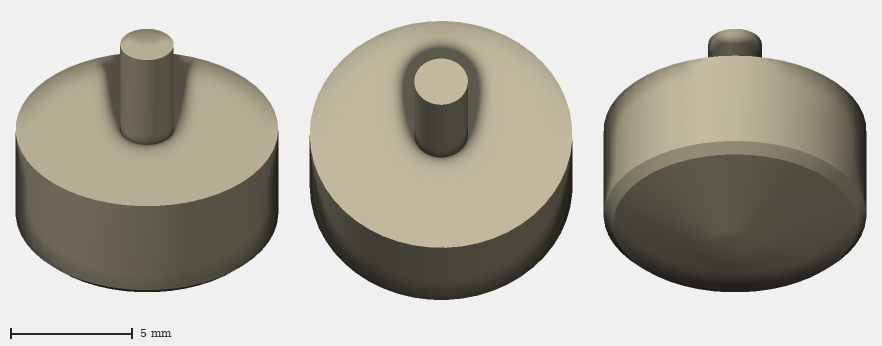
import cadquery as cq

body_diameter = 10.8
stem_diameter = 2.2
total_height = 10.5
stem_height = 4.3
chamfer_size = 0.4
tip_height = 1.54

body_radius = body_diameter / 2
stem_radius = stem_diameter / 2
cone_radius = body_radius - chamfer_size
wall_bottom = tip_height + chamfer_size
body_top = total_height - stem_height

profile = (
    cq.Workplane("XZ")
    .moveTo(0, 0)
    .lineTo(cone_radius, tip_height)
    .lineTo(body_radius, wall_bottom)
    .lineTo(body_radius, body_top)
    .lineTo(stem_radius, body_top)
    .lineTo(stem_radius, total_height)
    .lineTo(0, total_height)
    .close()
)

result = profile.revolve(360, (0, 0, 0), (0, 1, 0))